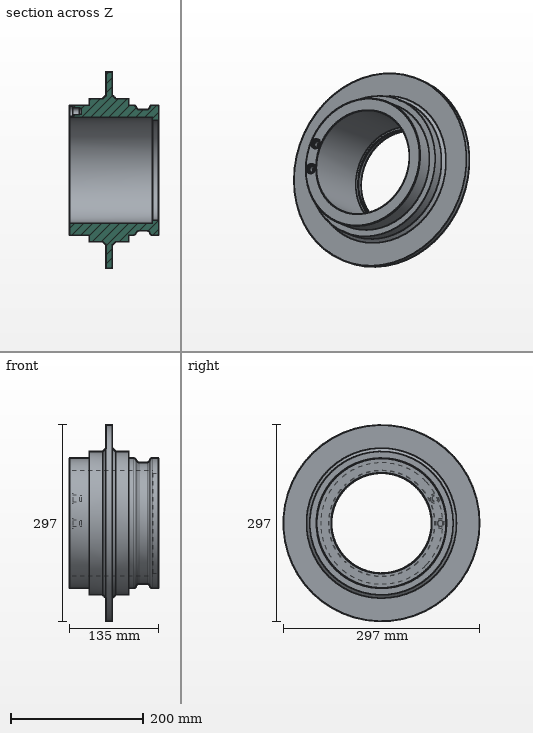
import cadquery as cq
import math

length = 135.0
collar_start = 30.0
collar_end = 90.0
flange_start = 55.2
flange_thickness = 9.8
flange_end = flange_start + flange_thickness
weld_size = 5.0
groove_start = 96.8
groove_end = 125.3

flange_radius = 148.5
collar_radius = 108.5
sleeve_radius = 98.5
groove_radius = 92
edge_chamfer = 1.0
mouth_chamfer = 0.5

near_wall_angle = 60
near_shoulder_round = 4.2
near_floor_round = 3.0
far_wall_angle = 70
far_wall_round = 4.0

bore_radius = 80.0
lip_radius = 75.5
lip_width = 10.0

port_circle_radius = 89
port_spacing_angle = 25
port_count = 2
counterbore_radius = 7.5
counterbore_depth = 5.0
thread_radius = 5.0
thread_end = 14.8
drill_radius = 4.5
drill_end = 17.8


def groove_wall(start_x, direction, angle_degrees, shoulder_round, floor_round):
    """Return shoulder start, shoulder arc middle and end, then floor arc start, middle and end."""
    angle = math.radians(angle_degrees)

    def shoulder_point(turn):
        x = start_x + direction * shoulder_round * math.sin(turn)
        return x, sleeve_radius - shoulder_round * (1 - math.cos(turn))

    rounds_drop = (shoulder_round + floor_round) * (1 - math.cos(angle))
    straight_run = (sleeve_radius - groove_radius - rounds_drop) / math.tan(angle)
    wall_run = (shoulder_round + floor_round) * math.sin(angle) + straight_run
    floor_x = start_x + direction * wall_run

    def floor_point(turn):
        x = floor_x - direction * floor_round * math.sin(turn)
        return x, groove_radius + floor_round * (1 - math.cos(turn))

    shoulder = [shoulder_point(turn) for turn in (0, angle / 2, angle)]
    floor = [floor_point(turn) for turn in (angle, angle / 2, 0)]
    return shoulder + floor


def make_body():
    """Revolve the solid outer profile about the X axis."""
    near = groove_wall(groove_start, 1, near_wall_angle, near_shoulder_round, near_floor_round)
    far = groove_wall(groove_end, -1, far_wall_angle, far_wall_round, far_wall_round)
    far.reverse()
    weld_radius = collar_radius + weld_size
    profile = (
        cq.Workplane("XY")
        .moveTo(0, 0)
        .lineTo(0, sleeve_radius - edge_chamfer)
        .lineTo(edge_chamfer, sleeve_radius)
        .lineTo(collar_start, sleeve_radius)
        .lineTo(collar_start, collar_radius)
        .lineTo(flange_start - weld_size, collar_radius)
        .lineTo(flange_start, weld_radius)
        .lineTo(flange_start, flange_radius)
        .lineTo(flange_end, flange_radius)
        .lineTo(flange_end, weld_radius)
        .lineTo(flange_end + weld_size, collar_radius)
        .lineTo(collar_end, collar_radius)
        .lineTo(collar_end, sleeve_radius)
    )
    for wall in (near, far):
        profile = (
            profile.lineTo(*wall[0])
            .threePointArc(wall[1], wall[2])
            .lineTo(*wall[3])
            .threePointArc(wall[4], wall[5])
        )
    profile = (
        profile.lineTo(length - edge_chamfer, sleeve_radius)
        .lineTo(length, sleeve_radius - edge_chamfer)
        .lineTo(length, 0)
        .close()
    )
    return profile.revolve(360, (0, 0, 0), (1, 0, 0))


def make_bore():
    """Revolve the bore, chamfered at its mouth and at both edges of the lip."""
    lip_start = length - lip_width
    return (
        cq.Workplane("XY")
        .moveTo(0, 0)
        .lineTo(0, bore_radius + mouth_chamfer)
        .lineTo(mouth_chamfer, bore_radius)
        .lineTo(lip_start, bore_radius)
        .lineTo(lip_start, lip_radius + edge_chamfer)
        .lineTo(lip_start + edge_chamfer, lip_radius)
        .lineTo(length - edge_chamfer, lip_radius)
        .lineTo(length, lip_radius + edge_chamfer)
        .lineTo(length, 0)
        .close()
        .revolve(360, (0, 0, 0), (1, 0, 0))
    )


def make_port(angle_degrees):
    """Return the cutter for one port, turned from +Y towards +Z by the angle."""
    port = (
        cq.Workplane("XY")
        .moveTo(0, 0)
        .lineTo(0, counterbore_radius)
        .lineTo(counterbore_depth, counterbore_radius)
        .lineTo(counterbore_depth, thread_radius)
        .lineTo(thread_end, thread_radius)
        .lineTo(thread_end, drill_radius)
        .lineTo(drill_end, drill_radius)
        .lineTo(drill_end, 0)
        .close()
        .revolve(360, (0, 0, 0), (1, 0, 0))
    )
    return port.translate((0, port_circle_radius, 0)).rotate((0, 0, 0), (1, 0, 0), angle_degrees)


result = make_body().cut(make_bore())
for port_index in range(port_count):
    result = result.cut(make_port(port_index * port_spacing_angle))

result = result.translate((-length / 2, 0, 0))